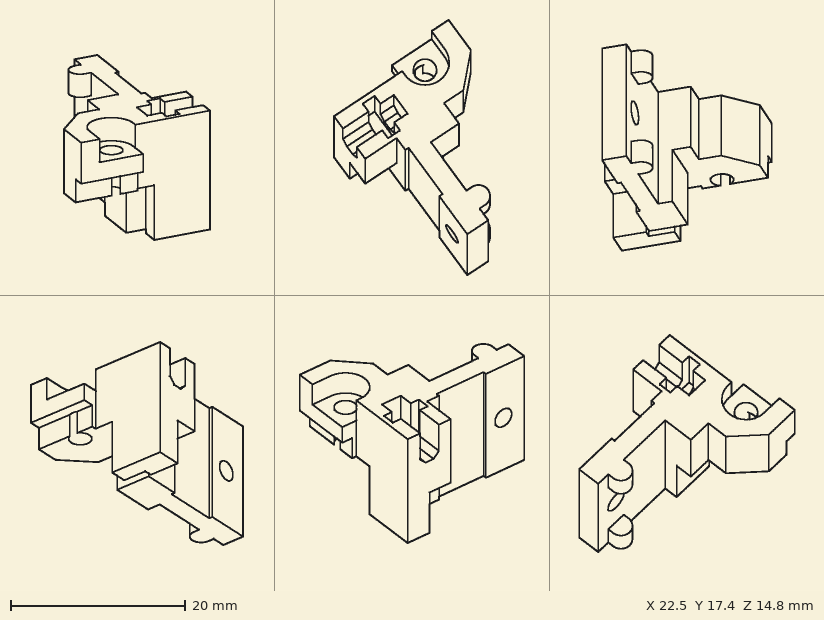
import cadquery as cq

LENGTH = 22.5
DEPTH = 17.45
HEIGHT = 14.8

PLATE_FRONT = 10.12
PLATE_THICKNESS = 2.95
PLATE_BACK = PLATE_FRONT + PLATE_THICKNESS
RECESS_LEFT = 5.6
RECESS_RIGHT = 12.42
RECESS_DEPTH = 0.45

LUG_X = 3.05
LUG_DIAMETER = 2.65
LUG_HEIGHT = 2.88
LUG_STRAIGHT = 0.76
TAPER_FRONT_DIAMETER = 2.75
TAPER_BACK_DIAMETER = 2.43

BLOCK_LEFT = 11.52
BLOCK_RIGHT = 17.15
BLOCK_FRONT = 8.4

TOWER_LEFT = 14.18
TOWER_RIGHT = 20.45
SLOT_FRONT = 10.35

ARM_BOTTOM = 6.82
ARM_SHOULDER_Y = 6.19
ARM_NECK_X = 14.54
ARM_CHAMFER = 3.49
ARM_BACK = 7.92
ARM_STEP_WIDTH = 1.45
ARM_STEP_TOP = 9.7

SEAT_RADIUS = 2.77
SEAT_X = 19.85
SEAT_Y = ARM_BACK - SEAT_RADIUS
SEAT_DEPTH = 2.88
SCREW_HOLE_DIAMETER = 2.65

SLOT_X = 17.25
SLOT_WIDTH = 2.75
SLOT_BEVEL = 0.79
SLOT_FLOOR = 10.28
NUT_SLOT_FRONT = 12.22
NUT_SLOT_THICKNESS = 1.66
NUT_SLOT_WIDTH = 5.08
NUT_SLOT_FLOOR = SLOT_FLOOR + SLOT_WIDTH / 2 - NUT_SLOT_WIDTH / 2

RELIEF_TOP = 5.75
RELIEF_RIGHT = 18.25
LEG_FRONT = 13.48


def box(x0, x1, y0, y1, z0, z1):
    """Axis-aligned box between opposite corners."""
    return cq.Workplane("XY").box(x1 - x0, y1 - y0, z1 - z0, centered=False).translate((x0, y0, z0))


def plate():
    """Upright plate with a shallow full-height recess in its back."""
    slab = box(0, TOWER_LEFT, PLATE_FRONT, PLATE_BACK, 0, HEIGHT)
    recess = box(RECESS_LEFT, RECESS_RIGHT, PLATE_BACK - RECESS_DEPTH, PLATE_BACK, 0, HEIGHT)
    return slab.cut(recess)


def lug(bottom):
    """Round-nosed lug on the front of the plate."""
    nose_y = PLATE_FRONT - LUG_STRAIGHT
    radius = LUG_DIAMETER / 2
    nose = cq.Workplane("XY").center(LUG_X, nose_y).circle(radius).extrude(LUG_HEIGHT)
    shank = box(LUG_X - radius, LUG_X + radius, nose_y, PLATE_BACK - RECESS_DEPTH, 0, LUG_HEIGHT)
    return nose.union(shank).translate((0, 0, bottom))


def tapered_hole():
    """Cone through the plate, wider at the front."""
    front = cq.Workplane("XZ", origin=(LUG_X, PLATE_FRONT, HEIGHT / 2))
    return (
        front.circle(TAPER_FRONT_DIAMETER / 2)
        .workplane(offset=-PLATE_THICKNESS)
        .circle(TAPER_BACK_DIAMETER / 2)
        .loft(ruled=True)
    )


def arm():
    """Forward arm with an angled front corner and a step under its right end."""
    outline = [
        (BLOCK_LEFT, PLATE_BACK - RECESS_DEPTH),
        (BLOCK_LEFT, ARM_SHOULDER_Y),
        (ARM_NECK_X, ARM_SHOULDER_Y),
        (ARM_NECK_X, ARM_CHAMFER),
        (ARM_NECK_X + ARM_CHAMFER, 0),
        (LENGTH, 0),
        (LENGTH, ARM_BACK),
        (TOWER_RIGHT, ARM_BACK),
        (TOWER_RIGHT, PLATE_BACK - RECESS_DEPTH),
    ]
    underside = cq.Workplane("XY", origin=(0, 0, ARM_BOTTOM))
    body = underside.polyline(outline).close().extrude(HEIGHT - ARM_BOTTOM)
    step = box(LENGTH - ARM_STEP_WIDTH, LENGTH, 0, ARM_BACK, ARM_BOTTOM, ARM_STEP_TOP)
    return body.cut(step)


def screw_seat():
    """Round-ended seat open to the right, with a hole through the arm."""
    floor = HEIGHT - SEAT_DEPTH
    round_end = cq.Workplane("XY", origin=(SEAT_X, SEAT_Y, floor)).circle(SEAT_RADIUS).extrude(SEAT_DEPTH)
    open_end = box(SEAT_X, LENGTH, SEAT_Y - SEAT_RADIUS, ARM_BACK, floor, HEIGHT)
    hole = (
        cq.Workplane("XY", origin=(SEAT_X, SEAT_Y, ARM_BOTTOM))
        .circle(SCREW_HOLE_DIAMETER / 2)
        .extrude(HEIGHT - ARM_BOTTOM)
    )
    return round_end.union(open_end).union(hole)


def bolt_slot():
    """Slot open to the top and back, with bevelled floor corners."""
    half_width = SLOT_WIDTH / 2
    half_floor = half_width - SLOT_BEVEL
    bevel_top = SLOT_FLOOR + SLOT_BEVEL
    section = [
        (-half_width, HEIGHT),
        (-half_width, bevel_top),
        (-half_floor, SLOT_FLOOR),
        (half_floor, SLOT_FLOOR),
        (half_width, bevel_top),
        (half_width, HEIGHT),
    ]
    back = cq.Workplane("XZ", origin=(SLOT_X, DEPTH, 0))
    return back.polyline(section).close().extrude(DEPTH - SLOT_FRONT)


def nut_slot():
    """Wider, deeper slot across the bolt slot."""
    left = SLOT_X - NUT_SLOT_WIDTH / 2
    right = SLOT_X + NUT_SLOT_WIDTH / 2
    back = NUT_SLOT_FRONT + NUT_SLOT_THICKNESS
    return box(left, right, NUT_SLOT_FRONT, back, NUT_SLOT_FLOOR, HEIGHT)


def tower_relief():
    """Space below the tower that leaves a leg on the right, clear of the block."""
    beside_block = box(BLOCK_RIGHT, RELIEF_RIGHT, SLOT_FRONT, LEG_FRONT, 0, RELIEF_TOP)
    behind_block = box(TOWER_LEFT, RELIEF_RIGHT, PLATE_BACK, LEG_FRONT, 0, RELIEF_TOP)
    beside_leg = box(TOWER_LEFT, SLOT_X, LEG_FRONT, DEPTH, 0, RELIEF_TOP)
    return beside_block.union(behind_block).union(beside_leg)


block = box(BLOCK_LEFT, BLOCK_RIGHT, BLOCK_FRONT, PLATE_BACK - RECESS_DEPTH, 0, HEIGHT)
tower = box(TOWER_LEFT, TOWER_RIGHT, SLOT_FRONT, DEPTH, 0, HEIGHT)

result = plate().union(block).union(tower).union(arm())
for lug_bottom in (0, HEIGHT - LUG_HEIGHT):
    result = result.union(lug(lug_bottom))
for cutter in (tapered_hole(), screw_seat(), bolt_slot(), nut_slot(), tower_relief()):
    result = result.cut(cutter)